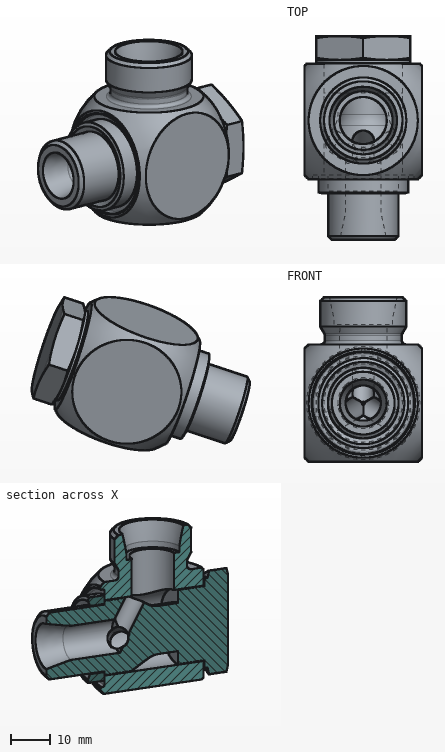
import cadquery as cq
import math


overall_height = 42.0
overall_length = 52

cube_half = 30.0 / 2
face_circle_radius = 13.95
ball_radius = math.hypot(cube_half, face_circle_radius)
head_face_y = 14.5
bolt_bore_dia = 20.0

recess_dia = 26
recess_depth = 1.1
recess_floor_y = recess_depth - cube_half
recess_mouth_chamfer = 0.2
recess_floor_fillet = 0.4

port_top_z = overall_height - cube_half
port_dia = 22.0
port_chamfer = 1.0
port_thread_end_z = 19.5
port_neck_dia = 19.7
port_runout_angle = math.radians(30)
port_runout_fillet = 0.8
port_base_fillet = 1.0
port_bore_dia = 12.0
tube_dia = 15.0
tube_mouth_dia = 17.25
tube_cone_half_angle = math.radians(12)
tube_stop_z = 20.0

hex_sides = 6
hex_width = 24.0
hex_base_y = 15.5
hex_top_y = 21.55
hex_chamfer_angle = math.radians(15)
collar_dia = hex_width
collar_base_y = 14.65
shank_dia = 19.95
waist_dia = 13
waist_start_y = 7.0
waist_fillet_start_y = 1.5
waist_fillet_radius = 5.65
waist_cone_angle = math.radians(30)
thread_dia = 18.0
thread_end_y = hex_top_y - overall_length
thread_chamfer = 1.0
bolt_bore_mouth_dia = 12.0
bolt_bore_end_dia = 9.0
bolt_bore_cone_length = 7.05
bolt_bore_tip_y = -6.75
drill_half_angle = math.radians(59)
cross_hole_dia = 5.5
cross_hole_count = 3
cross_hole_meeting_y = -10.35

ring_outer_dia = 23.0
ring_edge_dia = 21.0
ring_bore_dia = 18.1
ring_end_y = -18.6
ring_edge_height = 0.3
ring_countersink_depth = 0.6

round_corner_inset = 1 - math.sqrt(0.5)


def revolve_profile(half_profile):
    """Closes a half profile and turns it about the vertical axis of its sketch plane."""
    return half_profile.close().revolve(360, (0, 0, 0), (0, 1, 0))


def make_port():
    neck_r = port_neck_dia / 2
    outer_r = port_dia / 2
    fillet_drop = port_runout_fillet * (1 - math.cos(port_runout_angle))
    runout_r = neck_r + fillet_drop
    runout_z = port_thread_end_z - (outer_r - runout_r) / math.tan(port_runout_angle)
    neck_top_z = runout_z - port_runout_fillet * math.sin(port_runout_angle)
    half_angle = port_runout_angle / 2
    fillet_mid = (
        neck_r + port_runout_fillet * (1 - math.cos(half_angle)),
        neck_top_z + port_runout_fillet * math.sin(half_angle),
    )
    base_inset = port_base_fillet * round_corner_inset
    return revolve_profile(
        cq.Workplane("XZ")
        .moveTo(0, 0)
        .lineTo(neck_r + port_base_fillet, 0)
        .lineTo(neck_r + port_base_fillet, cube_half)
        .threePointArc(
            (neck_r + base_inset, cube_half + base_inset),
            (neck_r, cube_half + port_base_fillet),
        )
        .lineTo(neck_r, neck_top_z)
        .threePointArc(fillet_mid, (runout_r, runout_z))
        .lineTo(outer_r, port_thread_end_z)
        .lineTo(outer_r, port_top_z - port_chamfer)
        .lineTo(outer_r - port_chamfer, port_top_z)
        .lineTo(0, port_top_z)
    )


def make_port_bore():
    cone_depth = (tube_mouth_dia - tube_dia) / 2 / math.tan(tube_cone_half_angle)
    return revolve_profile(
        cq.Workplane("XZ")
        .moveTo(0, 0)
        .lineTo(port_bore_dia / 2, 0)
        .lineTo(port_bore_dia / 2, tube_stop_z)
        .lineTo(tube_dia / 2, tube_stop_z)
        .lineTo(tube_dia / 2, port_top_z - cone_depth)
        .lineTo(tube_mouth_dia / 2, port_top_z)
        .lineTo(0, port_top_z)
    )


def make_ring_recess():
    wall_r = recess_dia / 2
    floor_r = wall_r - recess_floor_fillet
    wall_end_y = recess_floor_y - recess_floor_fillet
    inset = recess_floor_fillet * round_corner_inset
    return revolve_profile(
        cq.Workplane("XY")
        .moveTo(0, recess_floor_y)
        .lineTo(floor_r, recess_floor_y)
        .threePointArc((wall_r - inset, recess_floor_y - inset), (wall_r, wall_end_y))
        .lineTo(wall_r, recess_mouth_chamfer - cube_half)
        .lineTo(wall_r + recess_mouth_chamfer, -cube_half)
        .lineTo(0, -cube_half)
    )


def make_housing():
    cube_length_y = cube_half + head_face_y
    cube = cq.Workplane("XY").box(2 * cube_half, cube_length_y, 2 * cube_half)
    cube = cube.translate((0, head_face_y - cube_length_y / 2, 0))
    body = cube.intersect(cq.Workplane("XY").sphere(ball_radius)).union(make_port())
    bolt_bore = cq.Workplane("XZ").circle(bolt_bore_dia / 2).extrude(cube_half, both=True)
    return body.cut(bolt_bore).cut(make_port_bore()).cut(make_ring_recess())


def make_hex_head():
    height = hex_top_y - hex_base_y
    corner_dia = hex_width / math.cos(math.pi / hex_sides)
    chamfer_height = (corner_dia - hex_width) / 2 * math.tan(hex_chamfer_angle)
    prism = cq.Workplane("XZ", origin=(0, hex_top_y, 0)).polygon(hex_sides, corner_dia).extrude(height)
    prism = prism.rotate((0, 0, 0), (0, 1, 0), 180 / hex_sides)
    envelope = revolve_profile(
        cq.Workplane("XY")
        .moveTo(0, hex_base_y)
        .lineTo(hex_width / 2, hex_base_y)
        .lineTo(corner_dia / 2, hex_base_y + chamfer_height)
        .lineTo(corner_dia / 2, hex_top_y - chamfer_height)
        .lineTo(hex_width / 2, hex_top_y)
        .lineTo(0, hex_top_y)
    )
    return prism.intersect(envelope)


def make_shank():
    waist_r = waist_dia / 2
    thread_r = thread_dia / 2
    shank_r = shank_dia / 2
    fillet_rise = waist_fillet_radius * (1 - math.cos(waist_cone_angle))
    fillet_end_y = waist_fillet_start_y - waist_fillet_radius * math.sin(waist_cone_angle)
    half_angle = waist_cone_angle / 2
    fillet_mid = (
        waist_r + waist_fillet_radius * (1 - math.cos(half_angle)),
        waist_fillet_start_y - waist_fillet_radius * math.sin(half_angle),
    )
    cone_length = (shank_r - waist_r - fillet_rise) / math.tan(waist_cone_angle)
    return revolve_profile(
        cq.Workplane("XY")
        .moveTo(0, hex_base_y)
        .lineTo(collar_dia / 2, hex_base_y)
        .lineTo(collar_dia / 2, collar_base_y)
        .lineTo(shank_r, collar_base_y)
        .lineTo(shank_r, waist_start_y)
        .lineTo(waist_r, waist_start_y)
        .lineTo(waist_r, waist_fillet_start_y)
        .threePointArc(fillet_mid, (waist_r + fillet_rise, fillet_end_y))
        .lineTo(shank_r, fillet_end_y - cone_length)
        .lineTo(shank_r, recess_floor_y)
        .lineTo(thread_r, recess_floor_y)
        .lineTo(thread_r, thread_end_y + thread_chamfer)
        .lineTo(thread_r - thread_chamfer, thread_end_y)
        .lineTo(0, thread_end_y)
    )


def make_bolt_bore():
    end_r = bolt_bore_end_dia / 2
    return revolve_profile(
        cq.Workplane("XY")
        .moveTo(0, thread_end_y)
        .lineTo(bolt_bore_mouth_dia / 2, thread_end_y)
        .lineTo(end_r, thread_end_y + bolt_bore_cone_length)
        .lineTo(end_r, bolt_bore_tip_y - end_r / math.tan(drill_half_angle))
        .lineTo(0, bolt_bore_tip_y)
    )


def make_cross_hole():
    hole_axis = cq.Vector(0, math.sin(waist_cone_angle), math.cos(waist_cone_angle))
    meeting_point = cq.Vector(0, cross_hole_meeting_y, 0)
    hole = cq.Solid.makeCylinder(cross_hole_dia / 2, shank_dia, meeting_point, hole_axis)
    return cq.Workplane(hole)


def make_bolt():
    bolt = make_hex_head().union(make_shank())
    hole = make_cross_hole()
    for i in range(cross_hole_count):
        bolt = bolt.cut(hole.rotate((0, 0, 0), (0, 1, 0), i * 360 / cross_hole_count))
    return bolt.cut(make_bolt_bore())


def make_sealing_ring():
    return revolve_profile(
        cq.Workplane("XY")
        .moveTo(ring_bore_dia / 2, recess_floor_y)
        .lineTo(ring_outer_dia / 2, recess_floor_y)
        .lineTo(ring_outer_dia / 2, ring_end_y + ring_edge_height)
        .lineTo(ring_edge_dia / 2, ring_end_y)
        .lineTo(ring_bore_dia / 2, ring_end_y + ring_countersink_depth)
    )


housing = make_housing()
bolt = make_bolt()
sealing_ring = make_sealing_ring()

result = cq.Compound.makeCompound([housing.val(), bolt.val(), sealing_ring.val()])